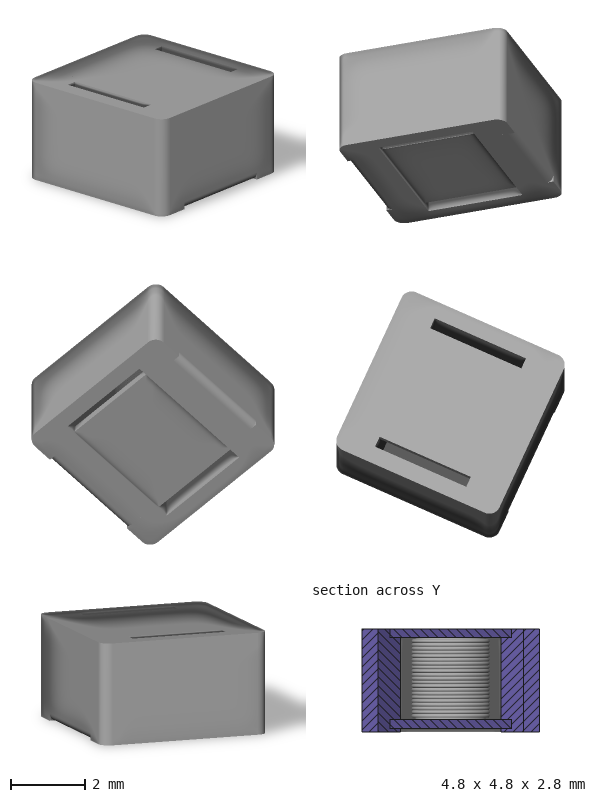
import cadquery as cq


SIDE = 4.8
HEIGHT = 2.8
CORNER_RADIUS = 0.3
OPENING = 3.9
OPENING_RADIUS = 0.2

TERMINAL_WIDTH = 3.015
TERMINAL_HEIGHT = 0.6
TERMINAL_THICKNESS = 0.1
BEND_RADIUS = 0.2

FLANGE_SIDE = 3.3
FLANGE_THICKNESS = 0.25
POST_DIAMETER = 1.9

WIRE_DIAMETER = 0.1
WINDING_DIAMETER = POST_DIAMETER + WIRE_DIAMETER

FILLER_GAP = 2.7

CORE_BOTTOM = TERMINAL_THICKNESS
CORE_HEIGHT = HEIGHT - CORE_BOTTOM
LOWER_FLANGE_TOP = CORE_BOTTOM + FLANGE_THICKNESS
UPPER_FLANGE_BOTTOM = HEIGHT - FLANGE_THICKNESS
POST_LENGTH = UPPER_FLANGE_BOTTOM - LOWER_FLANGE_TOP
TURNS = int(POST_LENGTH / WIRE_DIAMETER)
TERMINAL_REACH = (SIDE - FILLER_GAP) / 2
INNER_BEND_RADIUS = BEND_RADIUS - TERMINAL_THICKNESS


def square_block(side, height, bottom=0.0):
    """Square block centred on Z, standing at the given level."""
    return cq.Workplane("XY").box(side, side, height, centered=(True, True, False)).translate((0, 0, bottom))


def rounded_block(side, radius):
    """Full-height square block with rounded upright edges."""
    return square_block(side, HEIGHT).edges("|Z").fillet(radius)


def make_terminal_seat():
    """L-shaped strip on the -X side, with a square outer corner and a rounded inner one."""
    outer_x = -SIDE / 2
    return (
        cq.Workplane("XZ")
        .moveTo(outer_x, 0)
        .lineTo(outer_x + TERMINAL_REACH, 0)
        .lineTo(outer_x + TERMINAL_REACH, TERMINAL_THICKNESS)
        .lineTo(outer_x + BEND_RADIUS, TERMINAL_THICKNESS)
        .radiusArc((outer_x + TERMINAL_THICKNESS, BEND_RADIUS), INNER_BEND_RADIUS)
        .lineTo(outer_x + TERMINAL_THICKNESS, TERMINAL_HEIGHT)
        .lineTo(outer_x, TERMINAL_HEIGHT)
        .close()
        .extrude(TERMINAL_WIDTH / 2, both=True)
    )


def make_terminal(seat):
    """Metal strip that fills its seat except for the rounded outside of the bend."""
    return seat.edges("|Y and <X and <Z").fillet(BEND_RADIUS)


def on_both_sides(left):
    """The -X body and its copy turned half a revolution about Z."""
    return [left.rotate((0, 0, 0), (0, 0, 1), angle) for angle in (0, 180)]


def make_shield(seats):
    """Square ring with recesses for the terminals."""
    ring = rounded_block(SIDE, CORNER_RADIUS).cut(rounded_block(OPENING, OPENING_RADIUS))
    for seat in seats:
        ring = ring.cut(seat)
    return ring


def make_core():
    """Round post between two square flanges."""
    post = cq.Workplane("XY").circle(POST_DIAMETER / 2).extrude(CORE_HEIGHT).translate((0, 0, CORE_BOTTOM))
    lower_flange = square_block(FLANGE_SIDE, FLANGE_THICKNESS, CORE_BOTTOM)
    upper_flange = square_block(FLANGE_SIDE, FLANGE_THICKNESS, UPPER_FLANGE_BOTTOM)
    return post.union(lower_flange).union(upper_flange)


def make_winding():
    """Single layer of wire turns on the post, each turn bulging as a half circle."""
    post_radius = POST_DIAMETER / 2
    wire_centre = WINDING_DIAMETER / 2
    bottom = (LOWER_FLANGE_TOP + UPPER_FLANGE_BOTTOM - TURNS * WIRE_DIAMETER) / 2
    profile = cq.Workplane("XZ").moveTo(post_radius, bottom).lineTo(wire_centre, bottom)
    for turn in range(TURNS):
        start = bottom + turn * WIRE_DIAMETER
        crest = (wire_centre + WIRE_DIAMETER / 2, start + WIRE_DIAMETER / 2)
        profile = profile.threePointArc(crest, (wire_centre, start + WIRE_DIAMETER))
    top = bottom + TURNS * WIRE_DIAMETER
    return profile.lineTo(post_radius, top).close().revolve(360, (0, 0, 0), (0, 1, 0))


def make_filler(core, seat):
    """Strip between core and shield on the -X side, clear of the terminal."""
    strip = square_block(OPENING, HEIGHT).translate((-(OPENING + FILLER_GAP) / 2, 0, 0))
    return rounded_block(OPENING, OPENING_RADIUS).intersect(strip).cut(core).cut(seat)


left_seat = make_terminal_seat()
core = make_core()
winding = make_winding()
shield = make_shield(on_both_sides(left_seat))
terminals = on_both_sides(make_terminal(left_seat))
fillers = on_both_sides(make_filler(core, left_seat))

bodies = [shield, core, winding, *terminals, *fillers]
result = cq.Compound.makeCompound([body.val() for body in bodies])